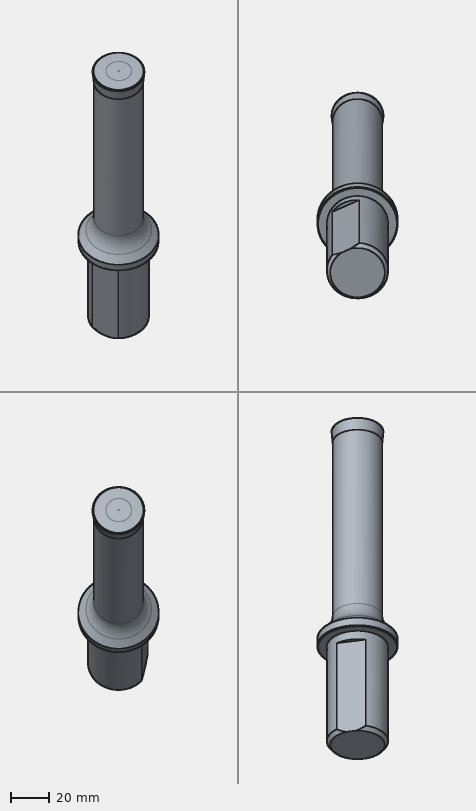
import cadquery as cq
import math

total_length = 193.0
shank_diameter = 32.0
shank_length = 60.0
shank_chamfer_height = 2.3
shank_chamfer_width = 1.8
collar_diameter = 42.0
collar_thickness = 5.0
collar_chamfer = 0.5
neck_diameter = 26.0
neck_fillet_radius = 14.0
shoulder_angle = math.radians(45)

flat_distance = 14.0
flat_length = 55.0

head_length = 7.8
head_diameter = 27.2
head_bevel = 0.6
face_diameter = head_diameter - 2 * head_bevel
face_inner_diameter = 13.4
face_tip_diameter = 0.8
face_inner_drop = 0.1
face_outer_drop = 0.35

shank_radius = shank_diameter / 2
collar_radius = collar_diameter / 2
neck_radius = neck_diameter / 2
collar_top = shank_length + collar_thickness
head_base = total_length - head_length

fillet_end_radius = neck_radius + neck_fillet_radius * (1 - math.sin(shoulder_angle))
fillet_end_z = collar_top + (collar_radius - fillet_end_radius) * math.tan(shoulder_angle)
fillet_top_z = fillet_end_z + neck_fillet_radius * math.cos(shoulder_angle)
fillet_mid_angle = shoulder_angle / 2
fillet_mid_radius = neck_radius + neck_fillet_radius * (1 - math.cos(fillet_mid_angle))
fillet_mid_z = fillet_top_z - neck_fillet_radius * math.sin(fillet_mid_angle)


def make_holder():
    """Turned holder: shank, collar, conical shoulder and neck, with a flat on the shank."""
    turned = (
        cq.Workplane("XZ")
        .moveTo(0, 0)
        .lineTo(shank_radius - shank_chamfer_width, 0)
        .lineTo(shank_radius, shank_chamfer_height)
        .lineTo(shank_radius, shank_length)
        .lineTo(collar_radius - collar_chamfer, shank_length)
        .lineTo(collar_radius, shank_length + collar_chamfer)
        .lineTo(collar_radius, collar_top)
        .lineTo(fillet_end_radius, fillet_end_z)
        .threePointArc((fillet_mid_radius, fillet_mid_z), (neck_radius, fillet_top_z))
        .lineTo(neck_radius, head_base)
        .lineTo(0, head_base)
        .close()
        .revolve(360, (0, 0, 0), (0, 1, 0))
    )
    flat_cutter = cq.Workplane("XY").box(
        shank_diameter, shank_radius, flat_length, centered=(True, False, False)
    ).translate((0, -flat_distance - shank_radius, 0))
    return turned.cut(flat_cutter)


def make_head():
    """Cutting head: flaring side, bevelled rim and two shallow cones around a tiny flat tip."""
    inner_edge_z = total_length - face_inner_drop
    outer_edge_z = inner_edge_z - face_outer_drop
    return (
        cq.Workplane("XZ")
        .moveTo(0, head_base)
        .lineTo(neck_radius, head_base)
        .lineTo(head_diameter / 2, outer_edge_z - head_bevel)
        .lineTo(face_diameter / 2, outer_edge_z)
        .lineTo(face_inner_diameter / 2, inner_edge_z)
        .lineTo(face_tip_diameter / 2, total_length)
        .lineTo(0, total_length)
        .close()
        .revolve(360, (0, 0, 0), (0, 1, 0))
    )


holder = make_holder()
head = make_head()

result = cq.Compound.makeCompound([holder.val(), head.val()])